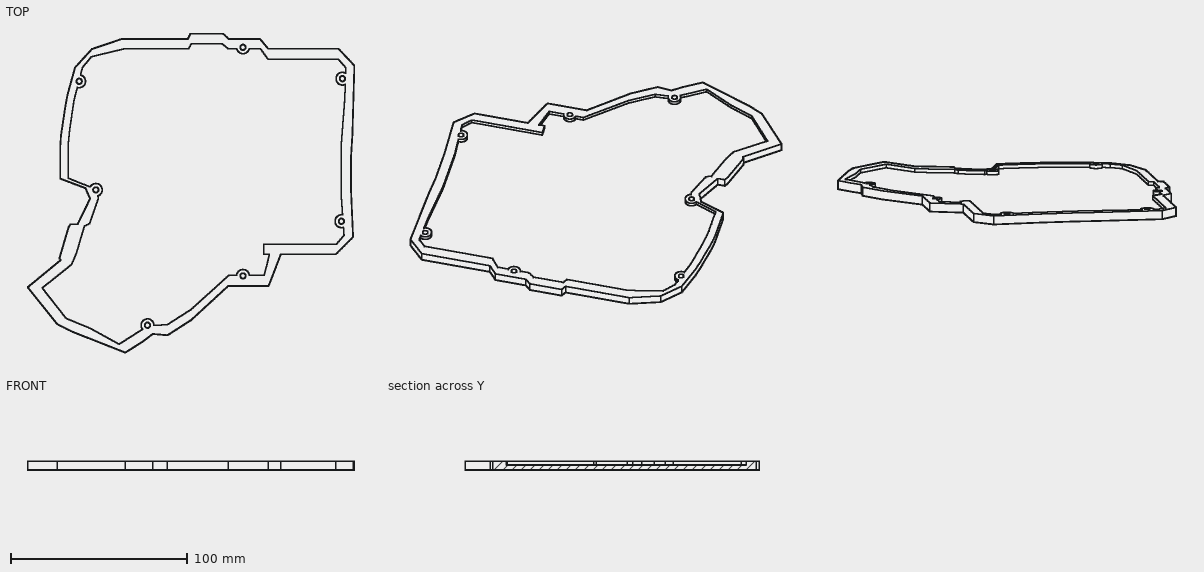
import cadquery as cq

LENGTH_X = 185.5
WIDTH_Y = 181.0
THICKNESS = 5.0
POCKET_DEPTH = 2.0
FLOOR_THICKNESS = THICKNESS - POCKET_DEPTH
HOLE_DIAMETER = 3.0
BOSS_DIAMETER = 7.2

RIGHT = LENGTH_X / 2
LEFT = -RIGHT
BACK = WIDTH_Y / 2
FRONT = -BACK

BACK_EDGE = 87.5
BACK_RIGHT_EDGE = 82.0
LEFT_EDGE = -74.2
RIGHT_WAIST = 91.0
FRONT_RIGHT_EDGE = -34.7
FRONT_STEP_EDGE = -52.7

POCKET_BACK_TAB = 84.8
POCKET_BACK = 82.0
POCKET_BACK_RIGHT = 75.9
POCKET_LEFT = -69.8
POCKET_RIGHT_WAIST = 85.2
POCKET_FRONT_RIGHT = -29.1
POCKET_FRONT_STEP = -46.5
POCKET_NOTCH_X = 41.2

OUTER_OUTLINE = [
    (LEFT_EDGE, 8.2),
    (LEFT_EDGE, 27.0),
    (-73.8, 32.7),
    (-71.2, 50.0),
    (-70.1, 55.8),
    (-65.9, 71.2),
    (-56.2, 81.8),
    (-39.1, BACK_EDGE),
    (-1.9, BACK_EDGE),
    (-0.4, BACK),
    (18.2, BACK),
    (21.3, BACK_EDGE),
    (39.1, BACK_EDGE),
    (43.8, BACK_RIGHT_EDGE),
    (83.7, BACK_RIGHT_EDGE),
    (RIGHT, 72.4),
    (91.7, 33.2),
    (RIGHT_WAIST, 21.3),
    (RIGHT_WAIST, 0.7),
    (92.0, -24.9),
    (82.2, FRONT_RIGHT_EDGE),
    (51.0, FRONT_RIGHT_EDGE),
    (44.9, -50.6),
    (44.0, FRONT_STEP_EDGE),
    (21.2, FRONT_STEP_EDGE),
    (0.2, -72.0),
    (-13.4, -80.7),
    (-21.7, -80.0),
    (-27.3, -84.2),
    (-37.3, FRONT),
    (-67.0, -78.9),
    (-75.9, -74.4),
    (LEFT, -53.5),
    (-73.8, -37.8),
    (-74.8, -37.1),
    (-69.5, -19.5),
    (-68.5, -17.6),
    (-64.4, -17.6),
    (-57.3, -3.2),
    (-60.0, 2.8),
]

POCKET_OUTLINE = [
    (POCKET_LEFT, 8.5),
    (POCKET_LEFT, 26.9),
    (-68.8, 36.0),
    (-66.5, 52.5),
    (-61.6, 71.2),
    (-56.5, 77.4),
    (-37.5, POCKET_BACK),
    (-1.3, POCKET_BACK),
    (0.2, POCKET_BACK_TAB),
    (17.6, POCKET_BACK_TAB),
    (21.0, POCKET_BACK),
    (39.3, POCKET_BACK),
    (43.8, POCKET_BACK_RIGHT),
    (83.7, POCKET_BACK_RIGHT),
    (88.0, 71.0),
    (87.2, 52.9),
    (POCKET_RIGHT_WAIST, 26.3),
    (POCKET_RIGHT_WAIST, -0.4),
    (86.8, -24.0),
    (82.4, POCKET_FRONT_RIGHT),
    (POCKET_NOTCH_X, POCKET_FRONT_RIGHT),
    (POCKET_NOTCH_X, FRONT_RIGHT_EDGE),
    (44.5, FRONT_RIGHT_EDGE),
    (41.5, POCKET_FRONT_STEP),
    (21.5, POCKET_FRONT_STEP),
    (0.0, -66.0),
    (-13.4, -74.5),
    (-24.5, -75.3),
    (-40.8, -85.7),
    (-57.0, -76.8),
    (-70.9, -71.0),
    (-84.5, -53.8),
    (-67.7, -40.5),
    (-65.0, -33.8),
    (-60.5, -18.7),
    (-57.5, -17.3),
    (-52.5, -2.8),
    (-54.0, 2.2),
]

SCREW_CENTERS = [
    (-63.5, 63.5),
    (-54.0, 1.9),
    (29.5, 82.7),
    (85.9, 65.0),
    (85.3, -16.0),
    (29.5, -47.0),
    (-24.7, -75.0),
]


def prism(outline, bottom, height):
    """Straight-sided block over a closed polygon, standing on the given level."""
    return cq.Workplane("XY").workplane(offset=bottom).polyline(outline).close().extrude(height)


def screw_cylinders(diameter, bottom, height):
    """One upright cylinder at every screw position."""
    plane = cq.Workplane("XY").workplane(offset=bottom)
    return plane.pushPoints(SCREW_CENTERS).circle(diameter / 2).extrude(height)


plate = prism(OUTER_OUTLINE, 0, THICKNESS)
pocket = prism(POCKET_OUTLINE, FLOOR_THICKNESS, POCKET_DEPTH)
bosses = screw_cylinders(BOSS_DIAMETER, FLOOR_THICKNESS, POCKET_DEPTH)
holes = screw_cylinders(HOLE_DIAMETER, 0, THICKNESS)

result = plate.cut(pocket.cut(bosses)).cut(holes)